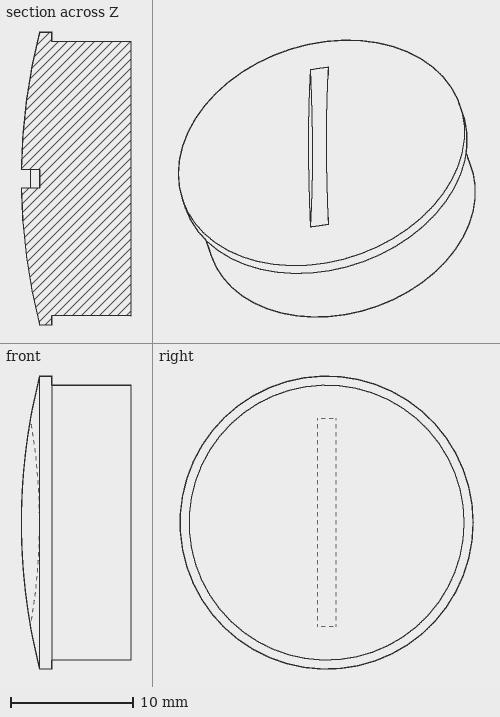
import cadquery as cq

flange_diameter = 24.0
flange_thickness = 1.0
body_diameter = 22.5
body_length = 6.5
dome_height = 1.5
slot_width = 1.5
slot_depth = 1.5

flange_radius = flange_diameter / 2
body_radius = body_diameter / 2
flange_front_x = 0.0
flange_back_x = flange_front_x + flange_thickness
body_end_x = flange_back_x + body_length
dome_tip_x = flange_front_x - dome_height
dome_radius = (flange_radius**2 + dome_height**2) / (2 * dome_height)
dome_center_x = dome_tip_x + dome_radius
slot_floor_radius = dome_radius
slot_center_x = dome_tip_x + slot_depth - slot_floor_radius


def plug_body():
    """Domed flange and plain cylindrical body, revolved about X."""
    mid_radius = flange_radius / 2
    mid_x = dome_center_x - (dome_radius**2 - mid_radius**2) ** 0.5
    profile = (
        cq.Workplane("XY")
        .moveTo(dome_tip_x, 0)
        .threePointArc((mid_x, mid_radius), (flange_front_x, flange_radius))
        .lineTo(flange_back_x, flange_radius)
        .lineTo(flange_back_x, body_radius)
        .lineTo(body_end_x, body_radius)
        .lineTo(body_end_x, 0)
        .close()
    )
    return profile.revolve(360, (0, 0, 0), (1, 0, 0))


def screwdriver_slot():
    """Disc with its axis along Y, leaving a slot with a concave arc floor in the dome."""
    return (
        cq.Workplane("XZ")
        .center(slot_center_x, 0)
        .circle(slot_floor_radius)
        .extrude(slot_width / 2, both=True)
    )


result = plug_body().cut(screwdriver_slot())